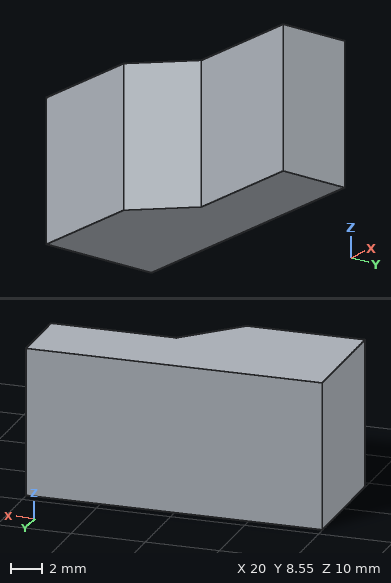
import cadquery as cq

length = 20.0
height = 10.0
wide_depth = 8.55
narrow_depth = 5.0
wide_length = 8.0

step = wide_depth - narrow_depth
slope_end = wide_length + step

outline = [
    (0, 0),
    (wide_length, 0),
    (slope_end, step),
    (length, step),
    (length, wide_depth),
    (0, wide_depth),
]

result = cq.Workplane("XY").polyline(outline).close().extrude(height)